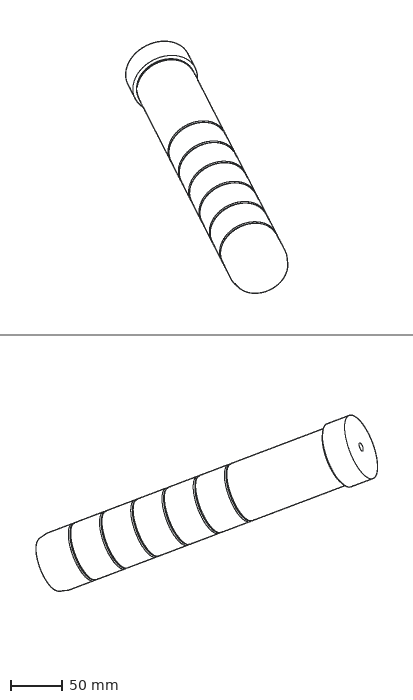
import cadquery as cq

length = 350.0
head_diameter = 66.0
head_length = 25.0
body_diameter = 60.0

undercut_width = 2.0
undercut_depth = 0.7

groove_count = 6
first_groove_x = 135.0
groove_pitch = 35.0
groove_width = 2.8
groove_depth = 0.7

taper_length = 10.0
tip_round = 2.8
taper_drop = 1.8

center_hole_diameter = 4.2
center_hole_depth = 10.5
countersink_diameter = 8.5
countersink_angle = 60.0

head_radius = head_diameter / 2
body_radius = body_diameter / 2


def make_pin():
    """Headed pin with an undercut neck and a tapered, rounded tip."""
    neck_radius = body_radius - undercut_depth
    neck_end = head_length + undercut_width
    tip_radius = body_radius - taper_drop
    profile = (
        cq.Workplane("XY")
        .moveTo(0, 0)
        .lineTo(0, head_radius)
        .lineTo(head_length, head_radius)
        .lineTo(head_length, neck_radius)
        .lineTo(neck_end, neck_radius)
        .lineTo(neck_end, body_radius)
        .lineTo(length - taper_length, body_radius)
        .lineTo(length - tip_round, tip_radius)
        .radiusArc((length, tip_radius - tip_round), tip_round)
        .lineTo(length, 0)
        .close()
    )
    return profile.revolve(360, (0, 0, 0), (1, 0, 0))


def make_groove(center_x):
    """Ring cutter with a V-shaped section that is deepest at center_x."""
    half_width = groove_width / 2
    section = (
        cq.Workplane("XY")
        .moveTo(center_x - half_width, body_radius)
        .lineTo(center_x, body_radius - groove_depth)
        .lineTo(center_x + half_width, body_radius)
        .lineTo(center_x + half_width, head_radius)
        .lineTo(center_x - half_width, head_radius)
        .close()
    )
    return section.revolve(360, (0, 0, 0), (1, 0, 0))


def cut_center_hole(pin):
    """Countersunk centre hole in the end face of the head."""
    return (
        pin.faces("<X")
        .workplane(origin=(0, 0, 0))
        .cskHole(center_hole_diameter, countersink_diameter, countersink_angle, center_hole_depth)
    )


pin = make_pin()
for index in range(groove_count):
    pin = pin.cut(make_groove(first_groove_x + index * groove_pitch))
pin = cut_center_hole(pin)

result = pin.translate((-length / 2, 0, 0))